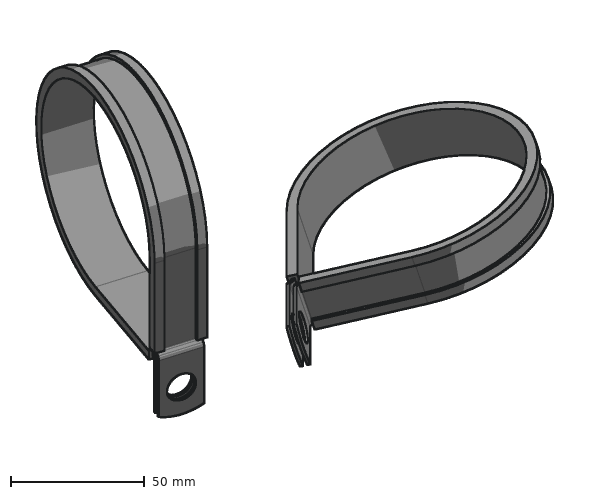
import cadquery as cq
import math


pipe_radius = 44.45
strap_thickness = 1.2
strap_width = 19.05
cushion_wall = 1.5
cushion_width = 22.1
groove_width = 13.8

lower_run_end_x = 43.95
side_run_end_z = -42.6

ear_tip_z = -74.67
ear_tip_radius = 24.0
hole_diameter = 12.1
hole_center_z = -61.8

bend_inner_radius = 1.2
jog_angle = math.radians(45)
jog_offset = 2.01

strap_inner_radius = pipe_radius + cushion_wall
strap_outer_radius = strap_inner_radius + strap_thickness
cushion_outer_radius = strap_outer_radius + cushion_wall
bend_outer_radius = bend_inner_radius + strap_thickness


def extrude_across(outline, width):
    """Extrude an XZ outline by width, centred on Y = 0."""
    return outline.extrude(width / 2, both=True)


def loop_band(inner_radius, outer_radius, width):
    """Three-quarter ring whose ends continue along +X and down -Z."""
    outline = (
        cq.Workplane("XZ")
        .moveTo(outer_radius, side_run_end_z)
        .lineTo(outer_radius, 0)
        .threePointArc(
            (-outer_radius * math.sqrt(0.5), outer_radius * math.sqrt(0.5)),
            (0, -outer_radius),
        )
        .lineTo(lower_run_end_x, -outer_radius)
        .lineTo(lower_run_end_x, -inner_radius)
        .lineTo(0, -inner_radius)
        .threePointArc(
            (-inner_radius * math.sqrt(0.5), inner_radius * math.sqrt(0.5)),
            (inner_radius, 0),
        )
        .lineTo(inner_radius, side_run_end_z)
        .close()
    )
    return extrude_across(outline, width)


def cushioned_loop():
    """Cushion and enclosed strap, with the strap exposed along the outer groove."""
    body = loop_band(pipe_radius, cushion_outer_radius, cushion_width)
    groove = loop_band(strap_outer_radius, cushion_outer_radius, groove_width)
    return body.cut(groove)


def lower_run_ear():
    """Strap leaving the lower run and bending a quarter turn downward."""
    bend_center_z = -strap_inner_radius - bend_outer_radius
    outer_face_x = lower_run_end_x + bend_outer_radius
    inner_face_x = lower_run_end_x + bend_inner_radius
    outline = (
        cq.Workplane("XZ")
        .moveTo(lower_run_end_x, -strap_inner_radius)
        .radiusArc((outer_face_x, bend_center_z), bend_outer_radius)
        .lineTo(outer_face_x, ear_tip_z)
        .lineTo(inner_face_x, ear_tip_z)
        .lineTo(inner_face_x, bend_center_z)
        .radiusArc((lower_run_end_x, -strap_outer_radius), -bend_inner_radius)
        .close()
    )
    return extrude_across(outline, strap_width)


def side_run_ear():
    """Strap leaving the side run and jogging outward through an S-bend."""
    bend_shift = 1 - math.cos(jog_angle)
    bend_drop = math.sin(jog_angle)
    both_radii = bend_inner_radius + bend_outer_radius
    slope_shift = jog_offset - both_radii * bend_shift
    slope_drop = slope_shift / math.tan(jog_angle)
    jog_end_z = side_run_end_z - both_radii * bend_drop - slope_drop

    outer_upper = (
        strap_outer_radius + bend_inner_radius * bend_shift,
        side_run_end_z - bend_inner_radius * bend_drop,
    )
    outer_lower = (outer_upper[0] + slope_shift, outer_upper[1] - slope_drop)
    inner_upper = (
        strap_inner_radius + bend_outer_radius * bend_shift,
        side_run_end_z - bend_outer_radius * bend_drop,
    )
    inner_lower = (inner_upper[0] + slope_shift, inner_upper[1] - slope_drop)

    outer_face_x = strap_outer_radius + jog_offset
    inner_face_x = strap_inner_radius + jog_offset
    outline = (
        cq.Workplane("XZ")
        .moveTo(strap_outer_radius, side_run_end_z)
        .radiusArc(outer_upper, -bend_inner_radius)
        .lineTo(*outer_lower)
        .radiusArc((outer_face_x, jog_end_z), bend_outer_radius)
        .lineTo(outer_face_x, ear_tip_z)
        .lineTo(inner_face_x, ear_tip_z)
        .lineTo(inner_face_x, jog_end_z)
        .radiusArc(inner_lower, -bend_inner_radius)
        .lineTo(*inner_upper)
        .radiusArc((strap_inner_radius, side_run_end_z), bend_outer_radius)
        .close()
    )
    return extrude_across(outline, strap_width)


def rounded_tip_envelope():
    """Block along X, rounded at the bottom, that trims both ears to shape."""
    half_width = strap_width / 2
    shoulder_z = ear_tip_z + ear_tip_radius - math.sqrt(ear_tip_radius**2 - half_width**2)
    return (
        cq.Workplane("YZ")
        .moveTo(-half_width, 0)
        .lineTo(-half_width, shoulder_z)
        .threePointArc((0, ear_tip_z), (half_width, shoulder_z))
        .lineTo(half_width, 0)
        .close()
        .extrude(2 * cushion_outer_radius)
    )


def bolt_hole():
    """Cylinder along X through both ears."""
    return (
        cq.Workplane("YZ")
        .center(0, hole_center_z)
        .circle(hole_diameter / 2)
        .extrude(2 * cushion_outer_radius)
    )


def shaped_ear(ear):
    """Round the tip of an ear and drill its bolt hole."""
    return ear.intersect(rounded_tip_envelope()).cut(bolt_hole())


result = cushioned_loop()
for ear in (lower_run_ear(), side_run_ear()):
    result = result.union(shaped_ear(ear))